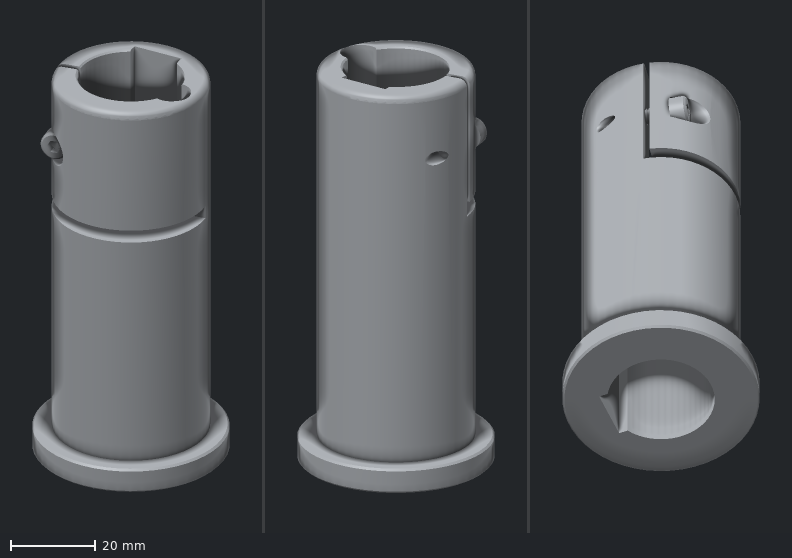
import cadquery as cq
import math

total_height = 100.0
tube_radius = 18.9
top_rounding = 2.1
bore_radius = 12.8
bore_chamfer = 0.4
flange_radius = 23.5
flange_height = 6.2
flange_chamfer = 0.5

keyway_width = 12.7
keyway_flat_distance = 13.3
keyway_turn = -9.0

clamp_cut_bottom = 65.0
clamp_cut_height = 3.2
clamp_cut_top = clamp_cut_bottom + clamp_cut_height
slit_width = 1.5

relief_radius = 4.7
relief_angle = -21.0

screw_x = -15.8
screw_z = 83.0
head_seat_y = -6.3
head_radius = 3.5
head_length = 4.0
head_chamfer = 0.5
socket_flats = 3.0
socket_depth = 2.0
socket_point_angle = 120.0
shank_radius = 2.0
shank_length = 12.0
thread_pitch = 0.7
thread_depth = 0.4
grooves_before_slit = 6
thread_start_y = -slit_width / 2 - grooves_before_slit * thread_pitch
counterbore_radius = 4.0
exit_hole_radius = 1.7


def cylinder_along_y(radius, start_y, length):
    """Cylinder on the screw axis, running from start_y towards +Y."""
    start = cq.Vector(screw_x, start_y, screw_z)
    return cq.Workplane(cq.Solid.makeCylinder(radius, length, start, cq.Vector(0, 1, 0)))


def make_blank():
    """Flange and bored tube before the clamp and keyway are cut."""
    flange = cq.Workplane().circle(flange_radius).extrude(flange_height).edges().chamfer(flange_chamfer)
    tube = cq.Workplane().circle(tube_radius).extrude(total_height).faces(">Z").edges().fillet(top_rounding)
    bore = cq.Workplane().circle(bore_radius).extrude(total_height)
    blank = flange.union(tube).cut(bore)
    return blank.faces(">Z").edges(cq.selectors.RadiusNthSelector(0)).chamfer(bore_chamfer)


def make_keyway():
    keyway = cq.Workplane().rect(keyway_width, keyway_flat_distance).extrude(total_height)
    keyway = keyway.translate((0, keyway_flat_distance / 2, 0))
    return keyway.rotate((0, 0, 0), (0, 0, 1), keyway_turn)


def make_clamp_cut():
    """Slot that frees the front half of the clamp ring from the tube below."""
    width = 2 * flange_radius
    slot = cq.Workplane().box(width, flange_radius, clamp_cut_height, centered=(True, False, False))
    return slot.translate((0, -flange_radius, clamp_cut_bottom))


def make_slit():
    """Upright slit through the wall on the -X side, from the clamp cut to the top."""
    height = total_height - clamp_cut_bottom
    slit = cq.Workplane().box(flange_radius, slit_width, height, centered=False)
    return slit.translate((-flange_radius, -slit_width, clamp_cut_bottom))


def make_relief():
    angle = math.radians(relief_angle)
    center = (bore_radius * math.cos(angle), bore_radius * math.sin(angle))
    relief = cq.Workplane().center(*center).circle(relief_radius).extrude(total_height - clamp_cut_top)
    return relief.translate((0, 0, clamp_cut_top))


def make_screw_hole():
    counterbore = cylinder_along_y(counterbore_radius, head_seat_y - tube_radius, tube_radius)
    shank_hole = cylinder_along_y(shank_radius, head_seat_y, shank_length)
    exit_hole = cylinder_along_y(exit_hole_radius, head_seat_y, tube_radius - head_seat_y)
    return counterbore.union(shank_hole).union(exit_hole)


def make_sleeve():
    sleeve = make_blank()
    for cutter in (make_keyway(), make_clamp_cut(), make_slit(), make_relief(), make_screw_hole()):
        sleeve = sleeve.cut(cutter)
    return sleeve


def make_thread_groove(groove_y):
    """V-shaped ring that leaves sharp thread crests half a pitch to each side of groove_y."""
    half_pitch = thread_pitch / 2
    root = (shank_radius - thread_depth, 0)
    crests = [(shank_radius, -half_pitch), (shank_radius, half_pitch)]
    groove = cq.Workplane().polyline([root, *crests]).close().revolve(360, (0, 0), (0, 1))
    return groove.translate((screw_x, groove_y, screw_z))


def make_shank():
    shank = cylinder_along_y(shank_radius, head_seat_y, shank_length)
    shank_end_y = head_seat_y + shank_length
    groove_count = int((shank_end_y - thread_start_y) / thread_pitch)
    for index in range(groove_count):
        shank = shank.cut(make_thread_groove(thread_start_y + index * thread_pitch))
    return shank


def make_socket(mouth_y):
    """Hexagonal recess ending in a cone as wide as its flats."""
    corner_diameter = socket_flats / math.cos(math.radians(30))
    mouth = cq.Workplane("XZ", origin=(screw_x, mouth_y, screw_z))
    hexagon = mouth.polygon(6, corner_diameter).extrude(-socket_depth)
    cone_radius = socket_flats / 2
    cone_depth = cone_radius / math.tan(math.radians(socket_point_angle / 2))
    floor = cq.Vector(screw_x, mouth_y + socket_depth, screw_z)
    cone = cq.Solid.makeCone(cone_radius, 0, cone_depth, floor, cq.Vector(0, 1, 0))
    return hexagon.union(cq.Workplane(cone))


def make_screw():
    head_end_y = head_seat_y - head_length
    head = cylinder_along_y(head_radius, head_end_y, head_length).faces("<Y").edges().chamfer(head_chamfer)
    return head.union(make_shank()).cut(make_socket(head_end_y))


sleeve = make_sleeve()
screw = make_screw()
result = cq.Compound.makeCompound([sleeve.val(), screw.val()])